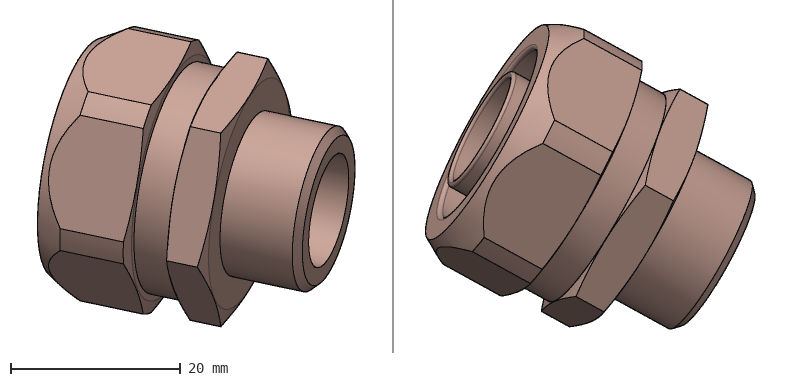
import cadquery as cq
import math

total_length = 32.3
nut_start = 1.0
nut_end = 12.95
locknut_start = 17.25
locknut_end = 22.3
cavity_floor = nut_end

nut_flats = 30.0
nut_corner_diameter = 32.98
nut_face_diameter = 28.82
nut_back_diameter = 29.68
nut_front_angle = 30.0
nut_cavity_diameter = 22.5
nut_mouth_radius = 0.53

collar_diameter = 28.0
locknut_flats = collar_diameter
locknut_face_diameter = 27.87
hex_back_angle = 15.0

spigot_diameter = 20.0
spigot_chamfer = 0.92
sleeve_diameter = 15.5
bore_diameter = 13.8
sleeve_tip_radius = 0.4


def cylinder(diameter, start, end):
    """Solid cylinder on the X axis between two stations."""
    return cq.Workplane("YZ").workplane(offset=start).circle(diameter / 2).extrude(end - start)


def hexagon(flats, start, end):
    """Hexagonal prism on the X axis with flats facing +Z and -Z."""
    across_corners = flats / math.cos(math.radians(30))
    return cq.Workplane("YZ").workplane(offset=start).polygon(6, across_corners).extrude(end - start)


def turned_envelope(start, end, diameter, front_diameter, front_length, back_diameter, back_length):
    """Cylinder with a cone at each end, used to turn down hexagon corners."""
    profile = [
        (start, 0),
        (start, front_diameter / 2),
        (start + front_length, diameter / 2),
        (end - back_length, diameter / 2),
        (end, back_diameter / 2),
        (end, 0),
    ]
    return cq.Workplane("XY").polyline(profile).close().revolve(360, (0, 0), (1, 0))


def compression_nut():
    """Large hexagon with a long front cone and a shallow back cone."""
    front_rise = (nut_corner_diameter - nut_face_diameter) / 2
    front_length = front_rise / math.tan(math.radians(nut_front_angle))
    back_rise = (nut_corner_diameter - nut_back_diameter) / 2
    back_length = back_rise * math.tan(math.radians(hex_back_angle))
    envelope = turned_envelope(
        nut_start, nut_end, nut_corner_diameter,
        nut_face_diameter, front_length, nut_back_diameter, back_length,
    )
    nut = hexagon(nut_flats, nut_start, nut_end).intersect(envelope)
    nut = nut.cut(cylinder(nut_cavity_diameter, nut_start, cavity_floor))
    mouth = cq.selectors.RadiusNthSelector(0)
    return nut.faces("<X").edges(mouth).fillet(nut_mouth_radius)


def locknut():
    """Thin hexagon with the same shallow corner cone on both ends."""
    corner_diameter = locknut_flats / math.cos(math.radians(30))
    rise = (corner_diameter - locknut_face_diameter) / 2
    length = rise * math.tan(math.radians(hex_back_angle))
    envelope = turned_envelope(
        locknut_start, locknut_end, corner_diameter,
        locknut_face_diameter, length, locknut_face_diameter, length,
    )
    return hexagon(locknut_flats, locknut_start, locknut_end).intersect(envelope)


def spigot():
    """Plain round end with a chamfered tip."""
    return cylinder(spigot_diameter, locknut_end, total_length).faces(">X").chamfer(spigot_chamfer)


def sleeve():
    """Thin tube whose rounded tip leaves a narrow flat land at mid-wall."""
    tube = cylinder(sleeve_diameter, 0, cavity_floor).cut(cylinder(bore_diameter, 0, cavity_floor))
    return tube.faces("<X").edges().fillet(sleeve_tip_radius)


collar = cylinder(collar_diameter, nut_end, locknut_start)
body = compression_nut().union(collar).union(locknut()).union(spigot())
body = body.cut(cylinder(bore_diameter, cavity_floor, total_length))
result = body.union(sleeve())